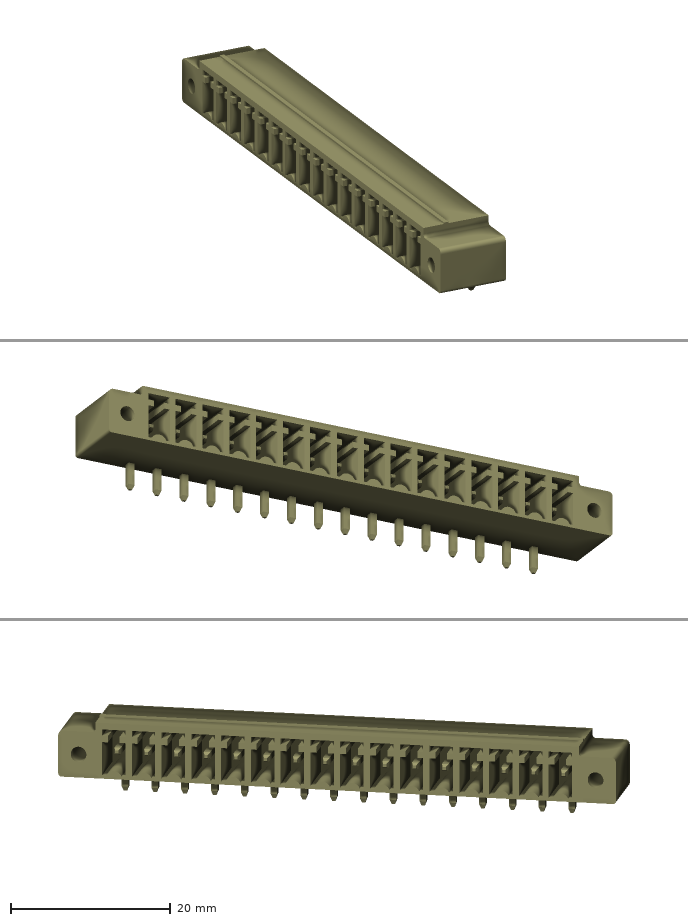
import cadquery as cq

total_width = 71.35
depth = 9.2
body_height = 7.25
ear_height = 6.0
ear_width = 4.75
ear_top_radius = 0.6
ear_bottom_radius = 0.4
step_radius = 0.4
half_width = total_width / 2
body_width = total_width - 2 * ear_width

ridge_height = 0.2
ridge_depth = 0.6
ridge_from_front = 3.2

contact_count = 16
pitch = 3.81
chamber_width = 3.0
chamber_floor = 0.4
chamber_top = 6.4
chamber_depth = 7.0
neck_width = 1.5
neck_bottom = 4.75
neck_top = 5.55
arch_width = 2.0
arch_height = 0.65

pin_size = 0.85
pin_height = 3.0
pin_recess = 2.0
leg_from_back = 1.3
leg_length = 3.5
taper_length = 0.6
tip_size = 0.4
leg_y = depth - leg_from_back

insert_diameter = 4.2
insert_hole_diameter = 2.0
insert_from_end = 2.6
insert_height = 3.0
insert_depth = 7.0
insert_hole_depth = 6.0


def box(x_size, y_range, z_range):
    """Box centred on x = 0, spanning the given y and z ranges."""
    y_min, y_max = y_range
    z_min, z_max = z_range
    block = cq.Workplane("XY").box(x_size, y_max - y_min, z_max - z_min, centered=(True, False, False))
    return block.translate((0, y_min, z_min))


def front_cylinder(diameter, length, x, z):
    """Cylinder starting on the front face and running back by the given length."""
    return cq.Workplane("XZ").center(x, z).circle(diameter / 2).extrude(-length)


def make_housing():
    """Stepped housing with rounded ear corners and filleted steps."""
    ears = box(total_width, (0, depth), (0, ear_height))
    ears = ears.faces(">Z").edges("|Y").fillet(ear_top_radius)
    ears = ears.faces("<Z").edges("|Y").fillet(ear_bottom_radius)
    housing = ears.union(box(body_width, (0, depth), (0, body_height)))
    step_corners = cq.selectors.BoxSelector(
        (-half_width, 0, ear_height - step_radius),
        (half_width, depth, ear_height + step_radius),
    )
    inner_span = cq.selectors.BoxSelector(
        (-body_width / 2 - step_radius, 0, 0),
        (body_width / 2 + step_radius, depth, body_height),
    )
    housing = housing.edges("|Y").edges(step_corners).edges(inner_span).fillet(step_radius)
    ridge = box(
        body_width,
        (ridge_from_front - ridge_depth / 2, ridge_from_front + ridge_depth / 2),
        (0, body_height + ridge_height),
    )
    return housing.union(ridge)


def make_chamber():
    """Chamber void at x = 0: wide bay, narrow neck and wide top slot over an arched floor."""
    side = chamber_width / 2
    neck = neck_width / 2
    arch = arch_width / 2
    return (
        cq.Workplane("XZ")
        .moveTo(-side, chamber_floor)
        .lineTo(-arch, chamber_floor)
        .threePointArc((0, chamber_floor + arch_height), (arch, chamber_floor))
        .lineTo(side, chamber_floor)
        .lineTo(side, neck_bottom)
        .lineTo(neck, neck_bottom)
        .lineTo(neck, neck_top)
        .lineTo(side, neck_top)
        .lineTo(side, chamber_top)
        .lineTo(-side, chamber_top)
        .lineTo(-side, neck_top)
        .lineTo(-neck, neck_top)
        .lineTo(-neck, neck_bottom)
        .lineTo(-side, neck_bottom)
        .close()
        .extrude(-chamber_depth)
    )


def pin_tip(plane):
    """Square tip tapering from the pin section along the plane normal."""
    return (
        cq.Workplane(plane)
        .rect(pin_size, pin_size)
        .workplane(offset=taper_length)
        .rect(tip_size, tip_size)
        .loft(ruled=True)
    )


def make_pin():
    """L-shaped contact at x = 0 with a tapered tip at each end."""
    half = pin_size / 2
    contact_start = pin_recess + taper_length
    leg_end = taper_length - leg_length
    contact = box(pin_size, (contact_start, leg_y + half), (pin_height - half, pin_height + half))
    leg = box(pin_size, (leg_y - half, leg_y + half), (leg_end, pin_height + half))
    contact_tip = pin_tip(cq.Plane((0, contact_start, pin_height), (1, 0, 0), (0, -1, 0)))
    leg_tip = pin_tip(cq.Plane((0, leg_y, leg_end), (1, 0, 0), (0, 0, -1)))
    return contact.union(leg).union(contact_tip).union(leg_tip)


housing = make_housing()
chamber = make_chamber()
pin = make_pin()
for index in range(contact_count):
    contact_x = (index - (contact_count - 1) / 2) * pitch
    housing = housing.cut(chamber.translate((contact_x, 0, 0)))
    housing = housing.union(pin.translate((contact_x, 0, 0)))

for side in (-1, 1):
    insert_x = side * (half_width - insert_from_end)
    bore = front_cylinder(insert_diameter, insert_depth, insert_x, insert_height)
    insert_hole = front_cylinder(insert_hole_diameter, insert_hole_depth, insert_x, insert_height)
    insert = bore.cut(insert_hole)
    housing = housing.cut(bore, clean=False).union(insert, clean=False)

result = housing